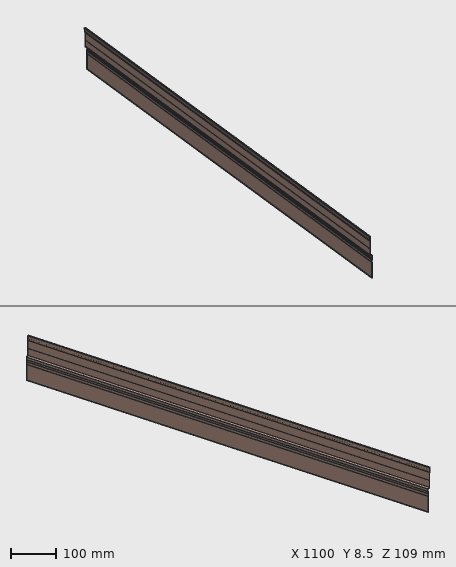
import cadquery as cq

length = 1100
depth = 8.5
height = 109.0

sheet = 0.9
y_back = depth / 2
y_front = -depth / 2
hem_front = y_back - 2 * sheet
web_front = y_front + 2.0
web_back = web_front + 1.5 * sheet

z_top = height / 2
z_bottom = -height / 2
hem_top = z_bottom + 40.0
lower_bend = z_bottom + 51.0
upper_bend = z_bottom + 57.0
web_step = z_bottom + 77.0
bead_bottom = z_bottom + 97.0

web_step_depth = 0.3
shoulder_rise = 2.0
hem_gap = 7.0
lip_height = 2.0
lip_overhang = 0.5
lip_slope = 3.0
bead_bevel_depth = 1.0
bead_bottom_bevel = 3.0
bead_front = y_front + lip_overhang


def profile_points():
    """Section in (Y, Z), traced up the front face and down the back."""
    front_face = [
        (hem_front, z_bottom),
        (hem_front, lower_bend),
        (y_back - sheet, lower_bend),
        (y_back - sheet, upper_bend),
        (web_front, upper_bend + shoulder_rise),
        (web_front, web_step),
        (web_front + web_step_depth, web_step),
        (web_front + web_step_depth, bead_bottom),
    ]
    bead = [
        (bead_front + bead_bevel_depth, bead_bottom),
        (bead_front, bead_bottom + bead_bottom_bevel),
        (bead_front, z_top - lip_height - lip_slope),
        (y_front, z_top - lip_height),
        (y_front, z_top),
    ]
    back_face = [
        (web_back, z_top),
        (web_back, upper_bend + shoulder_rise + sheet),
        (y_back, upper_bend + sheet),
        (y_back, hem_top + hem_gap),
        (y_back - sheet, hem_top + hem_gap),
        (y_back - sheet, hem_top),
        (y_back, hem_top),
        (y_back, z_bottom),
    ]
    return front_face + bead + back_face


result = (
    cq.Workplane("YZ")
    .polyline(profile_points())
    .close()
    .extrude(length / 2, both=True)
)